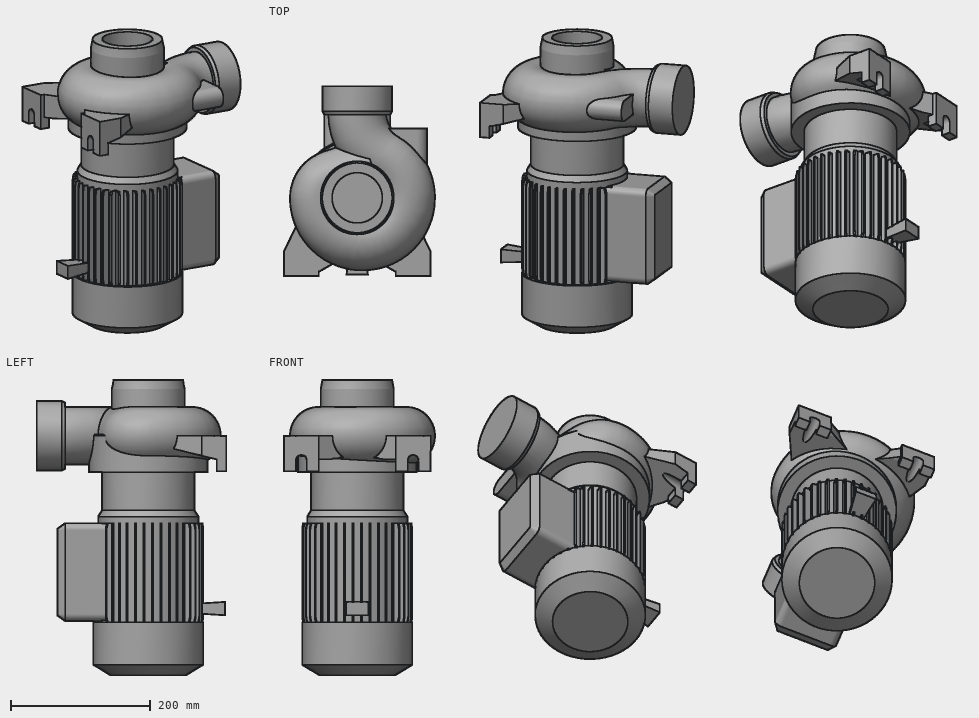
import cadquery as cq
import math


INLET_TOP = 80.0
INLET_TAPER_START = 67.0
CASING_TOP = 2.0
CASING_BOTTOM = -52.0
NECK_BOTTOM = -107.0
COLLAR_TOP = -116.0
FIN_TOP = -125.5
FIN_BOTTOM = -267.0
COWL_TAPER_START = -328.0
COWL_BOTTOM = -343.0

INLET_RIM_RADIUS = 50.0
INLET_RADIUS = 52.5
INLET_BORE_RADIUS = 36.0
INLET_BORE_DEPTH = 23.0
CASING_RADIUS = 85.0
CASING_CHAMFER = 2.0
NECK_RADIUS = 66.5
COLLAR_RADIUS = 72.0
COWL_RADIUS = 79.0
COWL_END_RADIUS = 54.0

FINS_PER_SIDE = 10
FIN_PITCH_ANGLE = 9.0
FIN_PITCH_RADIUS = 79.0
FIN_TIP_RADIUS = 79.2
FIN_END_RADIUS = 78.0
FIN_END_LENGTH = 8.0
FIN_THICKNESS = 2.0

TUBE_RADIUS = 41.5
SCROLL_RADIUS = 62.5
SCROLL_OFFSET = 7.5
SCROLL_END_ANGLE = 60.0
TONGUE_RADIUS = 28.0
TONGUE_ANGLE = 72.0
TONGUE_END_LENGTH = 60.0

OUTLET_END = 160.0
SOCKET_START = 119.0
SOCKET_SHOULDER = 124.0
SOCKET_RADIUS = 50.0
SOCKET_NECK_RADIUS = 47.5

SIDE_BLOCK_RIGHT = 100.0
SIDE_BLOCK_BACK = 99.5
SIDE_BLOCK_HEIGHT = 30.0
SIDE_BLOCK_EDGE_RADIUS = 14.5

FOOT_OUTER_X = 105.0
FOOT_INNER_X = 55.0
FOOT_FRONT_Y = -112.0
FOOT_PAD_BACK_Y = -98.0
FOOT_OUTER_CORNER_Y = -76.5
FOOT_INNER_CORNER_Y = -106.0
FOOT_OUTER_ANGLE = 64.0
FOOT_INNER_ANGLE = 30.0
FOOT_ROOT_Y = -30.0
FOOT_BOTTOM = -51.0
FOOT_ARM_BOTTOM = -34.0
FOOT_ARM_SLOPE = 14.0
FOOT_SLOT_X = 80.0
FOOT_SLOT_WIDTH = 15.0
FOOT_SLOT_CENTRE_Z = -35.0

BOX_WIDTH = 95.0
BOX_TOP = -125.0
BOX_BOTTOM = -265.5
BOX_CORNER_RADIUS = 10.0
BOX_SHOULDER_Y = 119.0
BOX_END_Y = 130.0
BOX_END_INSET = 8.0

LUG_CENTRE_Z = -247.5
LUG_TIP_Y = -110.0
LUG_ROOT_Y = -60.0
LUG_TIP_SIZE = (31.0, 19.5)
LUG_ROOT_SIZE = (17.0, 13.0)


def shaft_body():
    """Inlet, casing drum, motor neck, fin core and fan cowl turned about the shaft."""
    profile = [
        (0, INLET_TOP),
        (INLET_RIM_RADIUS, INLET_TOP),
        (INLET_RADIUS, INLET_TAPER_START),
        (INLET_RADIUS, CASING_TOP),
        (CASING_RADIUS - CASING_CHAMFER, CASING_TOP),
        (CASING_RADIUS, CASING_TOP - CASING_CHAMFER),
        (CASING_RADIUS, CASING_BOTTOM),
        (NECK_RADIUS, CASING_BOTTOM),
        (NECK_RADIUS, NECK_BOTTOM),
        (COLLAR_RADIUS, COLLAR_TOP),
        (COLLAR_RADIUS, FIN_BOTTOM),
        (COWL_RADIUS, FIN_BOTTOM),
        (COWL_RADIUS, COWL_TAPER_START),
        (COWL_END_RADIUS, COWL_BOTTOM),
        (0, COWL_BOTTOM),
    ]
    return cq.Workplane("XZ").polyline(profile).close().revolve(360, (0, 0), (0, 1))


def fins():
    """Two crossing sets of flat upright plates, trimmed to a round outline with tapered ends.

    The plates lie where evenly spaced rays from the shaft cross the pitch circle.
    """
    height = FIN_TOP - FIN_BOTTOM
    across = (2 * FIN_TIP_RADIUS, FIN_THICKNESS)
    first_angle = -FIN_PITCH_ANGLE * (FINS_PER_SIDE - 1) / 2
    offsets = []
    for index in range(FINS_PER_SIDE):
        angle = math.radians(first_angle + index * FIN_PITCH_ANGLE)
        offsets.append(FIN_PITCH_RADIUS * math.sin(angle))

    base = cq.Workplane("XY", origin=(0, 0, FIN_BOTTOM))
    x_plates = base.pushPoints([(0, y) for y in offsets]).rect(*across).extrude(height)
    y_plates = x_plates.rotate((0, 0, 0), (0, 0, 1), 90)
    outline = [
        (0, FIN_TOP),
        (FIN_END_RADIUS, FIN_TOP),
        (FIN_TIP_RADIUS, FIN_TOP - FIN_END_LENGTH),
        (FIN_TIP_RADIUS, FIN_BOTTOM + FIN_END_LENGTH),
        (FIN_END_RADIUS, FIN_BOTTOM),
        (0, FIN_BOTTOM),
    ]
    envelope = cq.Workplane("XZ").polyline(outline).close().revolve(360, (0, 0), (0, 1))
    return x_plates.union(y_plates).intersect(envelope)


def arc_point(centre, radius, degrees):
    """Point at an angle on a circle in the XY plane."""
    angle = math.radians(degrees)
    return (centre[0] + radius * math.cos(angle), centre[1] + radius * math.sin(angle))


def volute():
    """Main scroll and the reverse bend that turns the flow to +Y, swept as one tube."""
    scroll_centre = (SCROLL_OFFSET, 0)
    scroll_middle_angle = (SCROLL_END_ANGLE - 180) / 2
    scroll_end = arc_point(scroll_centre, SCROLL_RADIUS, SCROLL_END_ANGLE)

    end_cosine = math.cos(math.radians(SCROLL_END_ANGLE))
    bend_radius = (SCROLL_OFFSET + SCROLL_RADIUS * end_cosine) / (1 - end_cosine)
    bend_centre = arc_point(scroll_centre, SCROLL_RADIUS + bend_radius, SCROLL_END_ANGLE)

    path = (
        cq.Workplane("XY")
        .moveTo(SCROLL_OFFSET - SCROLL_RADIUS, 0)
        .threePointArc(arc_point(scroll_centre, SCROLL_RADIUS, scroll_middle_angle), scroll_end)
        .threePointArc(
            arc_point(bend_centre, bend_radius, 180 + SCROLL_END_ANGLE / 2),
            arc_point(bend_centre, bend_radius, 180),
        )
    )
    start = cq.Workplane("XZ", origin=(SCROLL_OFFSET - SCROLL_RADIUS, 0, 0))
    return start.circle(TUBE_RADIUS).sweep(path)


def tongue():
    """Tight turn that closes the scroll, with a straight end running into the outlet bend."""
    centre_x = SCROLL_OFFSET - SCROLL_RADIUS + TONGUE_RADIUS
    axis_height = math.sqrt(TUBE_RADIUS**2 - TONGUE_RADIUS**2)
    turn = (
        cq.Workplane("XZ", origin=(centre_x, 0, 0))
        .moveTo(0, -axis_height)
        .threePointArc((-TONGUE_RADIUS - TUBE_RADIUS, 0), (0, axis_height))
        .close()
        .revolve(TONGUE_ANGLE, (0, 1), (0, 0))
    )
    end = (
        cq.Workplane("XZ", origin=(centre_x - TONGUE_RADIUS, 0, 0))
        .circle(TUBE_RADIUS)
        .extrude(-TONGUE_END_LENGTH)
        .rotate((centre_x, 0, 0), (centre_x, 0, 1), -TONGUE_ANGLE)
    )
    return turn.union(end)


def outlet_socket():
    """Stepped socket at the end of the outlet, turned about the Y axis."""
    profile = [
        (0, SOCKET_START),
        (SOCKET_NECK_RADIUS, SOCKET_START),
        (SOCKET_RADIUS, SOCKET_SHOULDER),
        (SOCKET_RADIUS, OUTLET_END),
        (0, OUTLET_END),
    ]
    return cq.Workplane("XY").polyline(profile).close().revolve(360, (0, 0), (0, 1))


def side_block():
    """Round-edged block on the +X side of the outlet bend."""
    return (
        cq.Workplane("XY")
        .box(SIDE_BLOCK_RIGHT, SIDE_BLOCK_BACK, SIDE_BLOCK_HEIGHT, centered=(False, False, True))
        .edges("|Y and >X")
        .fillet(SIDE_BLOCK_EDGE_RADIUS)
    )


def foot():
    """Foot on the +X side: an arm with a sloping underside and a slotted front pad."""
    outer_run = FOOT_ROOT_Y - FOOT_OUTER_CORNER_Y
    outer_root_x = FOOT_OUTER_X - outer_run / math.tan(math.radians(FOOT_OUTER_ANGLE))
    inner_rise = FOOT_INNER_X * math.tan(math.radians(FOOT_INNER_ANGLE))
    plan = [
        (FOOT_INNER_X, FOOT_FRONT_Y),
        (FOOT_OUTER_X, FOOT_FRONT_Y),
        (FOOT_OUTER_X, FOOT_OUTER_CORNER_Y),
        (outer_root_x, FOOT_ROOT_Y),
        (0, FOOT_ROOT_Y),
        (0, FOOT_INNER_CORNER_Y + inner_rise),
        (FOOT_INNER_X, FOOT_INNER_CORNER_Y),
    ]
    arm_run = FOOT_ROOT_Y - FOOT_PAD_BACK_Y
    arm_root_bottom = FOOT_ARM_BOTTOM + arm_run * math.tan(math.radians(FOOT_ARM_SLOPE))
    side = [
        (FOOT_FRONT_Y, 0),
        (FOOT_FRONT_Y, FOOT_ARM_BOTTOM),
        (FOOT_PAD_BACK_Y, FOOT_ARM_BOTTOM),
        (FOOT_ROOT_Y, arm_root_bottom),
        (FOOT_ROOT_Y, 0),
    ]
    arm = cq.Workplane("XY").polyline(plan).close().extrude(FOOT_BOTTOM)
    arm = arm.intersect(cq.Workplane("YZ").polyline(side).close().extrude(FOOT_OUTER_X))
    pad = cq.Workplane("XY").box(
        FOOT_OUTER_X - FOOT_INNER_X, FOOT_PAD_BACK_Y - FOOT_FRONT_Y, -FOOT_BOTTOM, centered=False
    )
    pad = pad.translate((FOOT_INNER_X, FOOT_FRONT_Y, FOOT_BOTTOM))

    slot_length = FOOT_ROOT_Y - FOOT_FRONT_Y
    slot_drop = FOOT_SLOT_CENTRE_Z - FOOT_BOTTOM
    front = cq.Workplane("XZ", origin=(FOOT_SLOT_X, FOOT_FRONT_Y, FOOT_SLOT_CENTRE_Z))
    slot_top = front.circle(FOOT_SLOT_WIDTH / 2).extrude(-slot_length)
    slot_stem = front.center(0, -slot_drop / 2).rect(FOOT_SLOT_WIDTH, slot_drop).extrude(-slot_length)
    return arm.union(pad).cut(slot_top).cut(slot_stem)


def terminal_box():
    """Round-cornered box on the back of the motor with a tapered end."""
    height = BOX_TOP - BOX_BOTTOM
    centre_z = (BOX_TOP + BOX_BOTTOM) / 2
    taper = math.degrees(math.atan(BOX_END_INSET / (BOX_END_Y - BOX_SHOULDER_Y)))
    body = (
        cq.Workplane("XZ", origin=(0, 0, centre_z))
        .rect(BOX_WIDTH, height)
        .extrude(-BOX_SHOULDER_Y)
        .edges("|Y")
        .fillet(BOX_CORNER_RADIUS)
    )
    end_length = BOX_END_Y - BOX_SHOULDER_Y
    return body.faces(">Y").wires().toPending().workplane().extrude(end_length, taper=taper)


def lug():
    """Flared lug on the front of the motor."""
    return (
        cq.Workplane("XZ", origin=(0, LUG_ROOT_Y, LUG_CENTRE_Z))
        .rect(*LUG_ROOT_SIZE)
        .workplane(offset=LUG_ROOT_Y - LUG_TIP_Y)
        .rect(*LUG_TIP_SIZE)
        .loft()
    )


def inlet_bore():
    """Blind bore in the inlet, to be cut away."""
    rim = cq.Workplane("XY", origin=(0, 0, INLET_TOP))
    return rim.circle(INLET_BORE_RADIUS).extrude(-INLET_BORE_DEPTH)


right_foot = foot()
left_foot = right_foot.mirror("YZ")

result = shaft_body()
for feature in (
    fins(),
    volute(),
    tongue(),
    outlet_socket(),
    side_block(),
    right_foot,
    left_foot,
    terminal_box(),
    lug(),
):
    result = result.union(feature)
result = result.cut(inlet_bore())